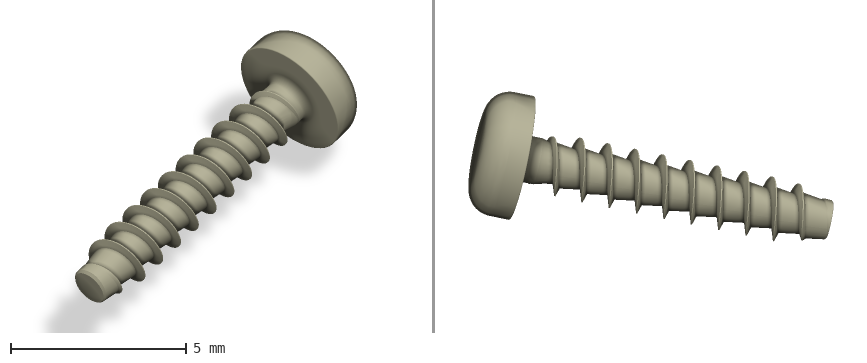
import cadquery as cq
import math


cos_45 = math.sqrt(0.5)

head_radius = 1.8
head_height = 1.3
dome_radius = 0.72
rim_fillet = 0.03
screw_length = 9.0
shank_radius = 0.67
shank_length = 0.46
neck_fillet = 0.2
core_radius = 0.535
core_cone_end = 0.98
tip_face_radius = 0.52
tip_trim_radius = 0.7

pitch = 0.8
crest_radius = 0.9
crest_flat = 0.03
root_radius = 0.64
buried_radius = 0.42
foot_radius = 0.51
low_root_radius = 0.545
head_flank = 0.13
tip_flank = 0.09
taper_end = 0.72
helix_start_y = 0.20
helix_turns = 12
pieces_per_turn = 2
points_per_piece = 10

run_in_y = -0.42
run_in_radius = 0.70
run_in_slope = 0.25
run_out_y = -7.8
run_out_slope = 0.34


def make_blank():
    """Head, filleted neck, shank, short cone and cylindrical core."""
    arc_mid = dome_radius * cos_45
    dome_flat = head_radius - dome_radius
    dome_base = head_height - dome_radius
    neck_mid = neck_fillet * (1 - cos_45)
    rim_mid = rim_fillet * (1 - cos_45)
    profile = (
        cq.Workplane("ZY")
        .moveTo(0, head_height)
        .lineTo(dome_flat, head_height)
        .threePointArc((dome_flat + arc_mid, dome_base + arc_mid), (head_radius, dome_base))
        .lineTo(head_radius, rim_fillet)
        .threePointArc((head_radius - rim_mid, rim_mid), (head_radius - rim_fillet, 0))
        .lineTo(shank_radius + neck_fillet, 0)
        .threePointArc((shank_radius + neck_mid, -neck_mid), (shank_radius, -neck_fillet))
        .lineTo(shank_radius, -shank_length)
        .lineTo(core_radius, -core_cone_end)
        .lineTo(core_radius, -screw_length)
        .lineTo(0, -screw_length)
        .close()
    )
    return profile.revolve(360, (0, 0), (0, 1))


def crest_at(y):
    """Crest radius at axial position y, reduced along the run-in and run-out."""
    run_in = run_in_radius + run_in_slope * (run_in_y - y)
    run_out = crest_radius - run_out_slope * (run_out_y - y)
    return max(foot_radius, min(crest_radius, run_in, run_out))


def thread_section(turn):
    """Corners (radius, y) of the thread body after the given number of turns."""
    y = helix_start_y - pitch * turn
    crest = crest_at(y)
    root = min(root_radius, crest)
    return [
        (buried_radius, y + head_flank),
        (foot_radius, y + head_flank),
        (crest, y + crest_flat / 2),
        (crest, y - crest_flat / 2),
        (root, y - tip_flank),
        (min(low_root_radius, crest), y - taper_end),
        (buried_radius, y - taper_end),
    ]


def make_thread_piece(first_turn):
    """Half a turn of right-handed thread, ruled between helices that follow its corners."""
    rails = [[] for corner in thread_section(first_turn)]
    for step in range(points_per_piece + 1):
        turn = first_turn + step / (points_per_piece * pieces_per_turn)
        angle = 2 * math.pi * turn
        for rail, (radius, y) in zip(rails, thread_section(turn)):
            rail.append(cq.Vector(-radius * math.sin(angle), y, radius * math.cos(angle)))
    edges = [cq.Edge.makeSpline(rail) for rail in rails]
    faces = [cq.Face.makeRuledSurface(edges[i - 1], edges[i]) for i in range(len(edges))]
    for end in (0, -1):
        outline = cq.Wire.makePolygon([rail[end] for rail in rails], close=True)
        faces.append(cq.Face.makeFromWires(outline))
    return cq.Workplane(cq.Solid.makeSolid(cq.Shell.makeShell(faces)))


def make_tip_trim():
    """Cutter that removes the thread run-out beyond the tip and chamfers the tip edge."""
    chamfer_top_y = tip_trim_radius - tip_face_radius - screw_length
    cutter_end_y = -screw_length - 2 * pitch
    profile = (
        cq.Workplane("ZY")
        .moveTo(0, -screw_length)
        .lineTo(tip_face_radius, -screw_length)
        .lineTo(tip_trim_radius, chamfer_top_y)
        .lineTo(tip_trim_radius, cutter_end_y)
        .lineTo(0, cutter_end_y)
        .close()
    )
    return profile.revolve(360, (0, 0), (0, 1))


screw = make_blank()
for piece_index in range(helix_turns * pieces_per_turn):
    screw = screw.union(make_thread_piece(piece_index / pieces_per_turn), clean=False)

result = screw.cut(make_tip_trim())